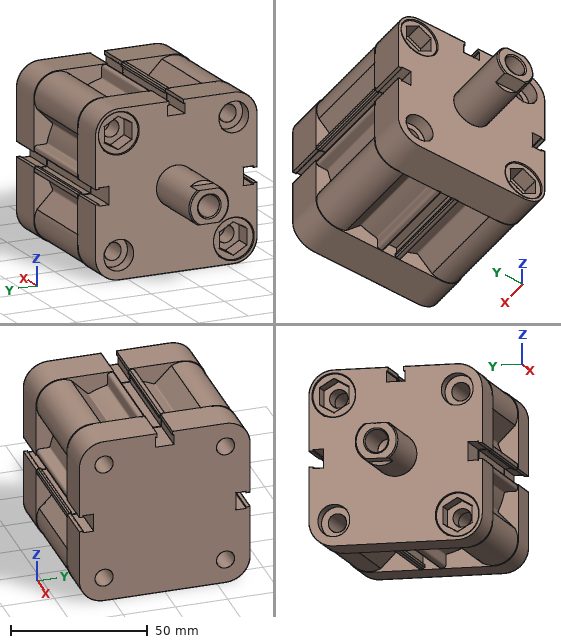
import cadquery as cq
import math

total_length = 94.5
front_face_x = 27.8
front_cap_length = 15.0
rear_cap_length = 14.7
barrel_start_x = front_face_x + front_cap_length
barrel_end_x = total_length - rear_cap_length

cap_side = 65.5
cap_half = cap_side / 2
cap_corner_radius = 9.45
corner_offset = cap_half - cap_corner_radius
mounting_hole_diameter = 6.9
counterbore_diameter = 12.0
counterbore_depth = 5.2

cap_slot_mouth = 5.9
cap_slot_width = 7.0
cap_slot_lip = 1.5
cap_slot_depth = 5.5

barrel_setback = 0.3
barrel_half = cap_half - barrel_setback
tube_radius = 28.0
lobe_radius = cap_corner_radius - barrel_setback
lobe_width = 17.4
valley_fillet = 0.8
rail_width = 10.7
rail_fillet = 1.1
rail_slot_mouth = 5.2
rail_slot_width = 6.4
rail_slot_lip = 1.5
rail_slot_depth = 4.9
rail_slot_chamfer = 0.6

screw_diameter = 16.0
screw_pocket_diameter = 16.5
screw_recess = 0.5
screw_length = front_cap_length - screw_recess
screw_face_x = front_face_x + screw_recess
socket_across_flats = 11.1
socket_depth = 6.6

rod_diameter = 16.1
rod_radius = rod_diameter / 2
rod_length = barrel_start_x
rod_tip_chamfer = 0.5
flat_spacing = 13.1
flat_length = 6.05
flat_runout = 0.4
thread_diameter = 8.6
thread_depth = 18.9
thread_chamfer = 0.5
drill_point_angle = 118.0

screw_corners = [(corner_offset, corner_offset), (-corner_offset, -corner_offset)]
open_corners = [(-corner_offset, corner_offset), (corner_offset, -corner_offset)]

cap_slot_turns = [0, 90, 180]
rail_turns = [0, 90, 180, 270]
lobe_turns = [45, 135, 225, 315]


def section_plane(x):
    """Plane across the X axis whose local axes are the part's Y and Z."""
    return cq.Workplane("YZ", origin=(x, 0, 0))


def turned_about_x(shape, angle):
    return shape.rotate((0, 0, 0), (1, 0, 0), angle)


def x_cylinder(diameter, start_x, length, centers):
    return section_plane(start_x).pushPoints(centers).circle(diameter / 2).extrude(length)


def t_slot(outer_half, mouth, width, lip, depth, start_x, length):
    """Cutter for a T-slot that opens toward +Y at the distance outer_half from the axis."""
    floor = outer_half - depth
    lip_underside = outer_half - lip
    outline = [
        (outer_half, -mouth / 2),
        (lip_underside, -mouth / 2),
        (lip_underside, -width / 2),
        (floor, -width / 2),
        (floor, width / 2),
        (lip_underside, width / 2),
        (lip_underside, mouth / 2),
        (outer_half, mouth / 2),
    ]
    return section_plane(start_x).polyline(outline).close().extrude(length)


def make_cap(start_x, length):
    cap = section_plane(start_x).rect(cap_side, cap_side).extrude(length)
    cap = cap.edges("|X").fillet(cap_corner_radius)
    slot = t_slot(cap_half, cap_slot_mouth, cap_slot_width, cap_slot_lip, cap_slot_depth, start_x, length)
    for turn in cap_slot_turns:
        cap = cap.cut(turned_about_x(slot, turn))
    return cap


def make_lobe(length):
    """Corner lobe lying along +Y: two parallel flanks closed by a round nose."""
    center = corner_offset * math.sqrt(2)
    half_width = lobe_width / 2
    nose_start = center + math.sqrt(lobe_radius**2 - half_width**2)
    return (
        section_plane(barrel_start_x)
        .moveTo(0, -half_width)
        .lineTo(nose_start, -half_width)
        .threePointArc((center + lobe_radius, 0), (nose_start, half_width))
        .lineTo(0, half_width)
        .close()
        .extrude(length)
    )


def make_rail(length):
    """Rail standing on the +Y side of the tube, with rounded outer edges."""
    rail = section_plane(barrel_start_x).center(barrel_half / 2, 0).rect(barrel_half, rail_width)
    return rail.extrude(length).edges("|X and >Y").fillet(rail_fillet)


def make_rail_slot(length):
    """T-slot of the rail with a chamfered mouth."""
    slot = t_slot(
        barrel_half, rail_slot_mouth, rail_slot_width, rail_slot_lip, rail_slot_depth, barrel_start_x, length
    )
    mouth_flare = (
        section_plane(barrel_start_x)
        .moveTo(barrel_half, -rail_slot_mouth / 2 - rail_slot_chamfer)
        .lineTo(barrel_half - rail_slot_chamfer, -rail_slot_mouth / 2)
        .lineTo(barrel_half - rail_slot_chamfer, rail_slot_mouth / 2)
        .lineTo(barrel_half, rail_slot_mouth / 2 + rail_slot_chamfer)
        .close()
        .extrude(length)
    )
    return slot.union(mouth_flare)


def is_valley_edge(edge):
    """True for the lengthwise edges where a lobe or a rail rises from the tube."""
    center = edge.Center()
    return math.isclose(math.hypot(center.y, center.z), tube_radius, abs_tol=0.01)


def make_barrel():
    length = barrel_end_x - barrel_start_x
    barrel = section_plane(barrel_start_x).circle(tube_radius).extrude(length)
    lobe = make_lobe(length)
    rail = make_rail(length)
    for turn in lobe_turns:
        barrel = barrel.union(turned_about_x(lobe, turn))
    for turn in rail_turns:
        barrel = barrel.union(turned_about_x(rail, turn))
    barrel = barrel.edges("|X").filter(is_valley_edge).fillet(valley_fillet)
    slot = make_rail_slot(length)
    for turn in rail_turns:
        barrel = barrel.cut(turned_about_x(slot, turn))
    return barrel


def make_housing():
    """Barrel with both end caps, bored for the rod, the screws and the mounting holes."""
    housing = make_cap(front_face_x, front_cap_length).union(make_barrel())
    housing = housing.union(make_cap(barrel_end_x, rear_cap_length))
    body_length = total_length - front_face_x
    all_corners = screw_corners + open_corners
    housing = housing.cut(x_cylinder(mounting_hole_diameter, front_face_x, body_length, all_corners))
    housing = housing.cut(x_cylinder(counterbore_diameter, front_face_x, counterbore_depth, open_corners))
    housing = housing.cut(x_cylinder(screw_pocket_diameter, front_face_x, front_cap_length, screw_corners))
    return housing.cut(x_cylinder(rod_diameter, front_face_x, front_cap_length, [(0, 0)]))


def make_screw(corner):
    """Collar screw with a hexagon socket, set back from the cap face, and a hole through it."""
    screw = x_cylinder(screw_diameter, screw_face_x, screw_length, [corner])
    screw = screw.cut(x_cylinder(mounting_hole_diameter, screw_face_x, screw_length, [corner]))
    across_corners = socket_across_flats / math.cos(math.pi / 6)
    socket = (
        section_plane(screw_face_x)
        .center(*corner)
        .transformed(rotate=(0, 0, 90))
        .polygon(6, across_corners)
        .extrude(socket_depth)
    )
    return screw.cut(socket)


def make_wrench_flat():
    """Cutter for the flat on top of the rod, whose end wall leans back toward the cap."""
    flat_height = flat_spacing / 2
    outline = [
        (0, flat_height),
        (flat_length, flat_height),
        (flat_length + flat_runout, rod_radius),
        (0, rod_radius),
    ]
    return cq.Workplane("XZ").polyline(outline).close().extrude(rod_radius, both=True)


def make_thread_hole():
    """Core hole of the rod thread: chamfered mouth, straight wall and a drill point."""
    radius = thread_diameter / 2
    point_length = radius / math.tan(math.radians(drill_point_angle / 2))
    outline = [
        (0, 0),
        (0, radius + thread_chamfer),
        (thread_chamfer, radius),
        (thread_depth, radius),
        (thread_depth + point_length, 0),
    ]
    return cq.Workplane("XY").polyline(outline).close().revolve(360, (0, 0, 0), (1, 0, 0))


def make_piston_rod():
    rod = section_plane(0).circle(rod_radius).extrude(rod_length)
    rod = rod.faces("<X").chamfer(rod_tip_chamfer)
    flat = make_wrench_flat()
    for turn in (0, 180):
        rod = rod.cut(turned_about_x(flat, turn))
    return rod.cut(make_thread_hole())


housing = make_housing()
piston_rod = make_piston_rod()
screws = [make_screw(corner) for corner in screw_corners]

result = cq.Compound.makeCompound([housing.val(), piston_rod.val(), *[screw.val() for screw in screws]])